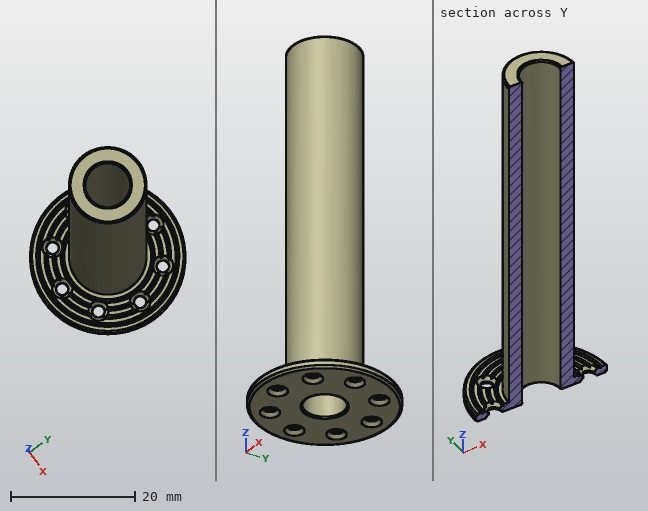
import cadquery as cq

TOTAL_HEIGHT = 65.6
TUBE_DIAMETER = 12.5
BORE_DIAMETER = 7.2
TUBE_CHAMFER = 0.25

FLANGE_DIAMETER = 25.0
FLANGE_THICKNESS = 1.6
FLANGE_TOP_CHAMFER = 0.3
FLANGE_BOTTOM_CHAMFER = 0.4

HOLE_COUNT = 8
HOLE_DIAMETER = 2
HOLE_CIRCLE_DIAMETER = 18.0
COUNTERSINK_DIAMETER = 3.3

GROOVE_COUNT = 4
FIRST_GROOVE_RADIUS = 7.3
GROOVE_PITCH = 1.3
GROOVE_WIDTH = 0.6
GROOVE_DEPTH = GROOVE_WIDTH / 2


def make_flange():
    """Round base plate with both rim edges chamfered."""
    plate = cq.Workplane("XY").circle(FLANGE_DIAMETER / 2).extrude(FLANGE_THICKNESS)
    plate = plate.faces(">Z").edges().chamfer(FLANGE_TOP_CHAMFER)
    return plate.faces("<Z").edges().chamfer(FLANGE_BOTTOM_CHAMFER)


def make_tube():
    """Upright tube, solid until the bore is cut through it and the flange together."""
    return cq.Workplane("XY").circle(TUBE_DIAMETER / 2).extrude(TOTAL_HEIGHT)


def make_v_groove(radius):
    """Ring with a V section, pointing down into the top of the flange."""
    section = (
        cq.Workplane("XZ")
        .moveTo(radius - GROOVE_WIDTH / 2, FLANGE_THICKNESS)
        .lineTo(radius, FLANGE_THICKNESS - GROOVE_DEPTH)
        .lineTo(radius + GROOVE_WIDTH / 2, FLANGE_THICKNESS)
        .close()
    )
    return section.revolve(360, (0, 0, 0), (0, 1, 0))


def cut_bore(body):
    """Bore through the full height, with its mouths and the outer top rim chamfered."""
    body = body.faces(">Z").workplane().hole(BORE_DIAMETER)
    body = body.faces(">Z").edges().chamfer(TUBE_CHAMFER)
    lower_mouth = cq.selectors.RadiusNthSelector(0)
    return body.faces("<Z").edges(lower_mouth).chamfer(TUBE_CHAMFER)


def make_screw_hole_cutter():
    """Through hole with a conical countersink at each face of the flange."""
    hole_radius = HOLE_DIAMETER / 2
    countersink_radius = COUNTERSINK_DIAMETER / 2
    countersink_depth = countersink_radius - hole_radius
    section = (
        cq.Workplane("XZ")
        .lineTo(countersink_radius, 0)
        .lineTo(hole_radius, countersink_depth)
        .lineTo(hole_radius, FLANGE_THICKNESS - countersink_depth)
        .lineTo(countersink_radius, FLANGE_THICKNESS)
        .lineTo(0, FLANGE_THICKNESS)
        .close()
    )
    return section.revolve(360, (0, 0, 0), (0, 1, 0))


def cut_screw_holes(body):
    """Ring of screw holes in the flange."""
    hole_cutter = make_screw_hole_cutter().translate((HOLE_CIRCLE_DIAMETER / 2, 0, 0))
    for index in range(HOLE_COUNT):
        body = body.cut(hole_cutter.rotate((0, 0, 0), (0, 0, 1), index * 360 / HOLE_COUNT))
    return body


body = make_flange().union(make_tube())
body = cut_bore(body)
for index in range(GROOVE_COUNT):
    body = body.cut(make_v_groove(FIRST_GROOVE_RADIUS + index * GROOVE_PITCH))

result = cut_screw_holes(body)